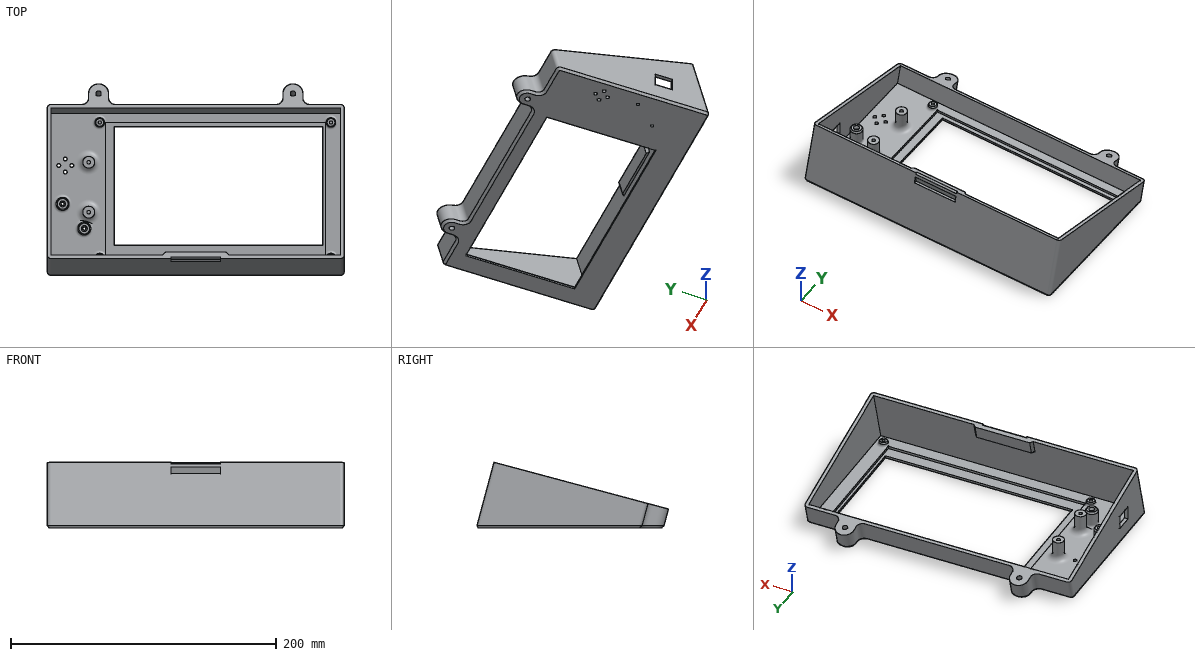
import cadquery as cq
import math


TILT = 15.0
WIDTH = 224.0
DEPTH = 144.5
HEIGHT = 49.7
RIM_DEPTH = 120.3
WALL = 3.0
FLOOR = 4.0
CORNER_RADIUS = WALL
EDGE_RISE = 2.0
EDGE_INSET = 1.5

LUG_X = 73.2
LUG_RADIUS = 7.6
LUG_BLEND = 5.0
LUG_HOLE_RADIUS = 2.0

OPENING_LEFT, OPENING_RIGHT = -61.4, 95.6
OPENING_FRONT, OPENING_BACK = 22.8, 112.0
SEAT_LEFT, SEAT_RIGHT = -68.0, 98.0
SEAT_FRONT, SEAT_BACK = 13.5, 115.1
SEAT_DEPTH = 2.0

STANDOFF_XS = (-72.4, 102.0)
STANDOFF_YS = (13.2, 115.4)
STANDOFF_RADIUS = 3.5
STANDOFF_BEVEL_WIDTH = 0.7
STANDOFF_BEVEL_HEIGHT = 1.1
STANDOFF_TOP = 8.0
STANDOFF_BLEND = 2.0
STANDOFF_HOLE_RADIUS = 1.23

POST_X = -80.6
POST_YS = (47.7, 85.3)
POST_RADIUS = 4.5
POST_TOP = 20.8
POST_BLEND = 5.0
POST_HOLE_RADIUS = 1.3

GUIDE_CENTRES = ((-100.4, 54.0), (-84.0, 35.5))
GUIDE_RADIUS = 5.0
GUIDE_TOP = 18.0
GUIDE_BLEND = 2.2
GUIDE_BEVEL_WIDTH = 1.0
GUIDE_BEVEL_HEIGHT = 1.5
GUIDE_MOUTH_RADIUS = 2.2
GUIDE_BORE_RADIUS = 1.1
GUIDE_FLARE_DEPTH = 2.2

SOUND_CENTRE = (-98.3, 82.9)
SOUND_RING_RADIUS = 5.0
SOUND_HOLE_RADIUS = 1.3
SOUND_HOLE_COUNT = 4

SOCKET_FRONT, SOCKET_BACK = 30.5, 44.5
SOCKET_BOTTOM, SOCKET_TOP = 14.5, 25.8

LATCH_WIDTH = 37.0
LATCH_LEAD = 1.3
LATCH_LIP_HEIGHT = 3.8
LATCH_GROOVE_BOTTOM = 9.0
LATCH_GROOVE_DEPTH = 3.0
BACKING_WIDTH = 50.0
BACKING_THICKNESS = 2.0
BACKING_HEIGHT = LATCH_GROOVE_BOTTOM + WALL

SLOPE = math.radians(TILT)
RIM_FRONT_Y = (HEIGHT - EDGE_RISE * math.cos(SLOPE)) * math.tan(SLOPE)
LUG_REACH = (DEPTH - RIM_FRONT_Y) / math.cos(SLOPE) - RIM_DEPTH
DRAFT_LENGTH = 2 * HEIGHT
RIM_ORIGIN = (0, RIM_FRONT_Y, HEIGHT)
RIM_NORMAL = (0, math.sin(SLOPE), math.cos(SLOPE))
RIM_BACKWARD = (0, math.cos(SLOPE), -math.sin(SLOPE))

RIM_PLANE = cq.Plane(origin=RIM_ORIGIN, xDir=(1, 0, 0), normal=RIM_NORMAL)
SECTION_PLANE = cq.Plane(origin=RIM_ORIGIN, xDir=RIM_BACKWARD, normal=(1, 0, 0))


def box_between(x_range, y_range, z_range):
    """Axis-aligned box from its limits along each axis."""
    sizes = [high - low for low, high in (x_range, y_range, z_range)]
    corner = (x_range[0], y_range[0], z_range[0])
    return cq.Workplane("XY").box(*sizes, centered=False).translate(corner)


def above(level):
    """Large block covering everything above a height."""
    return box_between((-WIDTH, WIDTH), (-WIDTH, WIDTH), (level, level + WIDTH))


def rim_prism(width, front, back):
    """Rectangle on the rim, carried down square to it."""
    return (
        cq.Workplane(RIM_PLANE)
        .center(0, (front + back) / 2)
        .rect(width, back - front)
        .extrude(-DRAFT_LENGTH)
    )


def lug(x):
    """Round-ended lug with concave blends into the back wall, rooted inside that wall."""
    half_root = LUG_RADIUS + LUG_BLEND
    centre_y = RIM_DEPTH + LUG_REACH - LUG_RADIUS
    blend_y = RIM_DEPTH + LUG_BLEND
    dip = LUG_BLEND * (1 - math.sqrt(0.5))
    root_y = RIM_DEPTH - WALL / 2
    return (
        cq.Workplane(RIM_PLANE)
        .center(x, 0)
        .moveTo(-half_root, root_y)
        .lineTo(-half_root, RIM_DEPTH)
        .threePointArc((-LUG_RADIUS - dip, RIM_DEPTH + dip), (-LUG_RADIUS, blend_y))
        .lineTo(-LUG_RADIUS, centre_y)
        .threePointArc((0, RIM_DEPTH + LUG_REACH), (LUG_RADIUS, centre_y))
        .lineTo(LUG_RADIUS, blend_y)
        .threePointArc((LUG_RADIUS + dip, RIM_DEPTH + dip), (half_root, RIM_DEPTH))
        .lineTo(half_root, root_y)
        .close()
        .extrude(-DRAFT_LENGTH)
    )


def outer_body():
    """Solid outer form with its lugs and bevelled bottom edge."""
    wall_edges = cq.selectors.ParallelDirSelector(cq.Vector(*RIM_NORMAL))
    body = rim_prism(WIDTH, 0, RIM_DEPTH).edges(wall_edges).fillet(CORNER_RADIUS)
    for x in (-LUG_X, LUG_X):
        body = body.union(lug(x))
    return body.intersect(above(0)).faces("<Z").chamfer(EDGE_RISE, EDGE_INSET)


def latch_backing():
    """Thickening inside the front wall behind the latch, with 45 degree ends."""
    half_tip = BACKING_WIDTH / 2 - BACKING_THICKNESS
    half_root = half_tip + BACKING_THICKNESS + WALL / 2
    return (
        cq.Workplane(RIM_PLANE)
        .polyline([
            (-half_root, WALL / 2),
            (half_root, WALL / 2),
            (half_tip, WALL + BACKING_THICKNESS),
            (-half_tip, WALL + BACKING_THICKNESS),
        ])
        .close()
        .extrude(-BACKING_HEIGHT)
    )


def latch_cut():
    """Lead-in bevel on the rim and the undercut groove below the lip."""
    lead_in = [(0, 0), (LATCH_LEAD, 0), (0, -LATCH_LEAD)]
    groove = [
        (0, -LATCH_LIP_HEIGHT),
        (LATCH_GROOVE_DEPTH, -LATCH_GROOVE_BOTTOM),
        (0, -LATCH_GROOVE_BOTTOM),
    ]
    section = cq.Workplane(SECTION_PLANE)
    cut = section.polyline(lead_in).close().extrude(LATCH_WIDTH / 2, both=True)
    return cut.union(section.polyline(groove).close().extrude(LATCH_WIDTH / 2, both=True))


def blended_post(x, y, radius, top, blend, bevel_width=0, bevel_height=0):
    """Post revolved about a vertical axis, flaring into the floor."""
    inner = blend * (1 - math.sqrt(0.5))
    profile = (
        cq.Workplane("XZ")
        .moveTo(0, FLOOR / 2)
        .lineTo(radius + blend, FLOOR / 2)
        .lineTo(radius + blend, FLOOR)
        .threePointArc((radius + inner, FLOOR + inner), (radius, FLOOR + blend))
        .lineTo(radius, top - bevel_height)
    )
    if bevel_width:
        profile = profile.lineTo(radius - bevel_width, top)
    return profile.lineTo(0, top).close().revolve().translate((x, y, 0))


def bore(x, y, radius, bottom, top):
    """Vertical cylinder used as a hole."""
    return cq.Workplane("XY", origin=(x, y, bottom)).circle(radius).extrude(top - bottom)


def guide_bore(x, y):
    """Through hole with a conical mouth at the top."""
    flare_bottom = GUIDE_TOP - GUIDE_FLARE_DEPTH
    return (
        cq.Workplane("XZ")
        .polyline([
            (0, 0),
            (GUIDE_BORE_RADIUS, 0),
            (GUIDE_BORE_RADIUS, flare_bottom),
            (GUIDE_MOUTH_RADIUS, GUIDE_TOP),
            (0, GUIDE_TOP),
        ])
        .close()
        .revolve()
        .translate((x, y, 0))
    )


outside = outer_body()
cavity = rim_prism(WIDTH - 2 * WALL, WALL, RIM_DEPTH - WALL).intersect(above(FLOOR))
case = outside.cut(cavity).union(latch_backing())

seat = box_between((SEAT_LEFT, SEAT_RIGHT), (SEAT_FRONT, SEAT_BACK), (FLOOR - SEAT_DEPTH, STANDOFF_TOP))
opening = box_between((OPENING_LEFT, OPENING_RIGHT), (OPENING_FRONT, OPENING_BACK), (0, FLOOR))
standoff_places = [(x, y) for x in STANDOFF_XS for y in STANDOFF_YS]
for x, y in standoff_places:
    case = case.union(
        blended_post(
            x, y, STANDOFF_RADIUS, STANDOFF_TOP, STANDOFF_BLEND, STANDOFF_BEVEL_WIDTH, STANDOFF_BEVEL_HEIGHT
        )
    )
case = case.cut(seat).cut(opening)
for x, y in standoff_places:
    case = case.cut(bore(x, y, STANDOFF_HOLE_RADIUS, FLOOR, STANDOFF_TOP))

for y in POST_YS:
    case = case.union(blended_post(POST_X, y, POST_RADIUS, POST_TOP, POST_BLEND))
for x, y in GUIDE_CENTRES:
    case = case.union(
        blended_post(x, y, GUIDE_RADIUS, GUIDE_TOP, GUIDE_BLEND, GUIDE_BEVEL_WIDTH, GUIDE_BEVEL_HEIGHT)
    )
for y in POST_YS:
    case = case.cut(bore(POST_X, y, POST_HOLE_RADIUS, FLOOR, POST_TOP))
for x, y in GUIDE_CENTRES:
    case = case.cut(guide_bore(x, y))

for index in range(SOUND_HOLE_COUNT):
    angle = 2 * math.pi * index / SOUND_HOLE_COUNT
    x = SOUND_CENTRE[0] + SOUND_RING_RADIUS * math.cos(angle)
    y = SOUND_CENTRE[1] + SOUND_RING_RADIUS * math.sin(angle)
    case = case.cut(bore(x, y, SOUND_HOLE_RADIUS, 0, FLOOR))

socket = box_between(
    (-WIDTH / 2, -WIDTH / 2 + WALL), (SOCKET_FRONT, SOCKET_BACK), (SOCKET_BOTTOM, SOCKET_TOP)
)
lug_holes = (
    cq.Workplane(RIM_PLANE)
    .pushPoints([(x, RIM_DEPTH + LUG_REACH - LUG_RADIUS) for x in (-LUG_X, LUG_X)])
    .circle(LUG_HOLE_RADIUS)
    .extrude(-DRAFT_LENGTH)
)
result = case.cut(socket).cut(latch_cut()).cut(lug_holes)